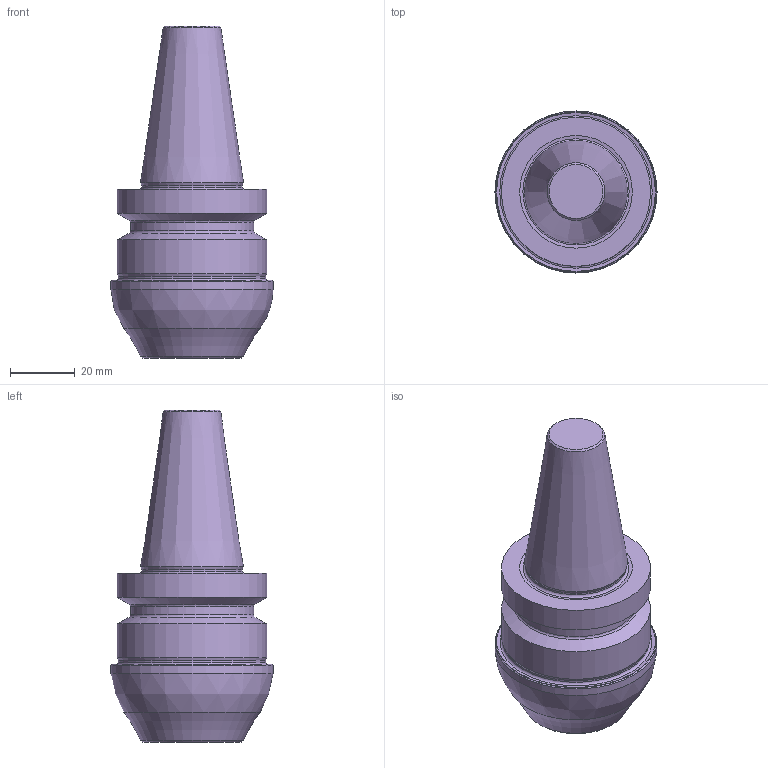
import cadquery as cq
import math


GAUGE_RADIUS = 15.875
TAPER_SLOPE = 7 / 48
TAPER_LENGTH = 48.4
TAPER_TIP_CHAMFER = 0.5

FLANGE_RADIUS = 23.0
FLANGE_TOP_Z = -2.0

GROOVE_CENTER_Z = -13.5
GROOVE_MOUTH_WIDTH = 8.2
GROOVE_FLOOR_RADIUS = 19.0
GROOVE_WALL_ANGLE = 60.0
GROOVE_FILLET = 0.85

RIM_RADIUS = 25.0
RIM_TOP_Z = -30.0
RIM_CHAMFER = 0.3
DOME_TOP_Z = -32.8
DOME_ARC_RADIUS = 20.0
DOME_HEIGHT = 12.0
NOSE_BOTTOM_Z = -54.0
NOSE_BOTTOM_RADIUS = 15.35
NOSE_BOTTOM_CHAMFER = 0.6

UNDERCUT_HEIGHT = 2.0
UNDERCUT_DEPTH = 0.3
UNDERCUT_RAMP = 0.8
UNDERCUT_FACE_DEPTH = 0.15
UNDERCUT_FILLET = 0.8
UNDERCUT_FACE_RUN = 1.0

SELECTION_MARGIN = 0.1

GROOVE_DEPTH = FLANGE_RADIUS - GROOVE_FLOOR_RADIUS
GROOVE_HALF_MOUTH = GROOVE_MOUTH_WIDTH / 2
GROOVE_HALF_FLOOR = GROOVE_HALF_MOUTH - GROOVE_DEPTH / math.tan(math.radians(GROOVE_WALL_ANGLE))


def add_taper(profile):
    """Chamfered tip and cone, down to the start of the cone."""
    tip_radius = GAUGE_RADIUS - TAPER_LENGTH * TAPER_SLOPE
    chamfer_base_z = TAPER_LENGTH - TAPER_TIP_CHAMFER
    return (
        profile.lineTo(tip_radius - TAPER_TIP_CHAMFER, TAPER_LENGTH)
        .lineTo(GAUGE_RADIUS - chamfer_base_z * TAPER_SLOPE, chamfer_base_z)
    )


def add_undercut(profile, side_radius, shoulder_z):
    """Relief between a cylinder and the flat shoulder below it, ending on the shoulder."""
    top_z = shoulder_z + UNDERCUT_HEIGHT
    floor_radius = side_radius - UNDERCUT_DEPTH
    lowest_z = shoulder_z - UNDERCUT_FACE_DEPTH
    fillet_end_radius = floor_radius + UNDERCUT_FILLET
    fillet_center_z = lowest_z + UNDERCUT_FILLET
    diagonal = UNDERCUT_FILLET * math.sqrt(0.5)
    fillet_mid = (fillet_end_radius - diagonal, fillet_center_z - diagonal)
    return (
        profile.lineTo(side_radius, top_z)
        .lineTo(floor_radius, top_z - UNDERCUT_RAMP)
        .lineTo(floor_radius, fillet_center_z)
        .threePointArc(fillet_mid, (fillet_end_radius, lowest_z))
        .lineTo(fillet_end_radius + UNDERCUT_FACE_RUN, shoulder_z)
    )


def add_gripper_groove(profile):
    """Symmetric trapezoidal groove with sharp floor corners."""
    return (
        profile.lineTo(FLANGE_RADIUS, GROOVE_CENTER_Z + GROOVE_HALF_MOUTH)
        .lineTo(GROOVE_FLOOR_RADIUS, GROOVE_CENTER_Z + GROOVE_HALF_FLOOR)
        .lineTo(GROOVE_FLOOR_RADIUS, GROOVE_CENTER_Z - GROOVE_HALF_FLOOR)
        .lineTo(FLANGE_RADIUS, GROOVE_CENTER_Z - GROOVE_HALF_MOUTH)
    )


def add_nose(profile):
    """Chamfered rim, convex dome, concave skirt and chamfered bottom."""
    dome_turn = math.asin(DOME_HEIGHT / DOME_ARC_RADIUS)
    dome_center_radius = RIM_RADIUS - DOME_ARC_RADIUS

    def dome_point(angle):
        radius = dome_center_radius + DOME_ARC_RADIUS * math.cos(angle)
        return (radius, DOME_TOP_Z - DOME_ARC_RADIUS * math.sin(angle))

    skirt_end = (
        NOSE_BOTTOM_RADIUS + NOSE_BOTTOM_CHAMFER,
        NOSE_BOTTOM_Z + NOSE_BOTTOM_CHAMFER,
    )
    return (
        profile.lineTo(RIM_RADIUS - RIM_CHAMFER, RIM_TOP_Z)
        .lineTo(RIM_RADIUS, RIM_TOP_Z - RIM_CHAMFER)
        .lineTo(RIM_RADIUS, DOME_TOP_Z)
        .threePointArc(dome_point(dome_turn / 2), dome_point(dome_turn))
        .tangentArcPoint(skirt_end, relative=False)
        .lineTo(NOSE_BOTTOM_RADIUS, NOSE_BOTTOM_Z)
        .lineTo(0, NOSE_BOTTOM_Z)
    )


def round_groove_floor(body):
    """Fillet the two circular edges of the groove floor; their centers lie on the axis."""
    reach = GROOVE_HALF_FLOOR + SELECTION_MARGIN
    floor_edges = cq.selectors.BoxSelector(
        (-SELECTION_MARGIN, -SELECTION_MARGIN, GROOVE_CENTER_Z - reach),
        (SELECTION_MARGIN, SELECTION_MARGIN, GROOVE_CENTER_Z + reach),
    )
    return body.edges(floor_edges).fillet(GROOVE_FILLET)


outline = cq.Workplane("XZ").moveTo(0, TAPER_LENGTH)
outline = add_taper(outline)
outline = add_undercut(outline, GAUGE_RADIUS, FLANGE_TOP_Z)
outline = outline.lineTo(FLANGE_RADIUS, FLANGE_TOP_Z)
outline = add_gripper_groove(outline)
outline = add_undercut(outline, FLANGE_RADIUS, RIM_TOP_Z)
outline = add_nose(outline)

blank = outline.close().revolve(360, (0, 0, 0), (0, 1, 0))
result = round_groove_floor(blank)